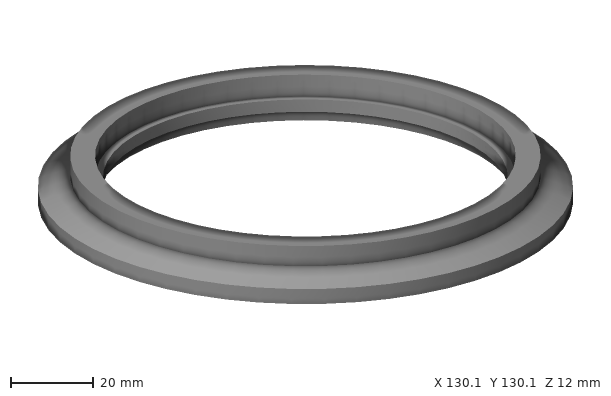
import cadquery as cq

rim_diameter = 130.05
collar_diameter = 114.3
socket_diameter = 102.21
bore_diameter = 98.42
recess_diameter = 102.11

total_height = 11.99
rim_height = 3.95
taper_top_height = 6.68
socket_depth = 5.75
recess_depth = 3.0


def ring_body():
    """Flange ring, turned from its half cross-section around the Z axis."""
    rim_radius = rim_diameter / 2
    collar_radius = collar_diameter / 2
    bore_radius = bore_diameter / 2
    profile = (
        cq.Workplane("XZ")
        .moveTo(bore_radius, 0)
        .lineTo(rim_radius, 0)
        .lineTo(rim_radius, rim_height)
        .lineTo(collar_radius, taper_top_height)
        .lineTo(collar_radius, total_height)
        .lineTo(bore_radius, total_height)
        .close()
    )
    return profile.revolve(360, (0, 0, 0), (0, 1, 0))


def counterbore(diameter, depth, base_height):
    """Cylinder on the Z axis that widens one end of the bore."""
    return cq.Workplane("XY").workplane(offset=base_height).circle(diameter / 2).extrude(depth)


upper_socket = counterbore(socket_diameter, socket_depth, total_height - socket_depth)
lower_recess = counterbore(recess_diameter, recess_depth, 0)

result = ring_body().cut(upper_socket).cut(lower_recess)